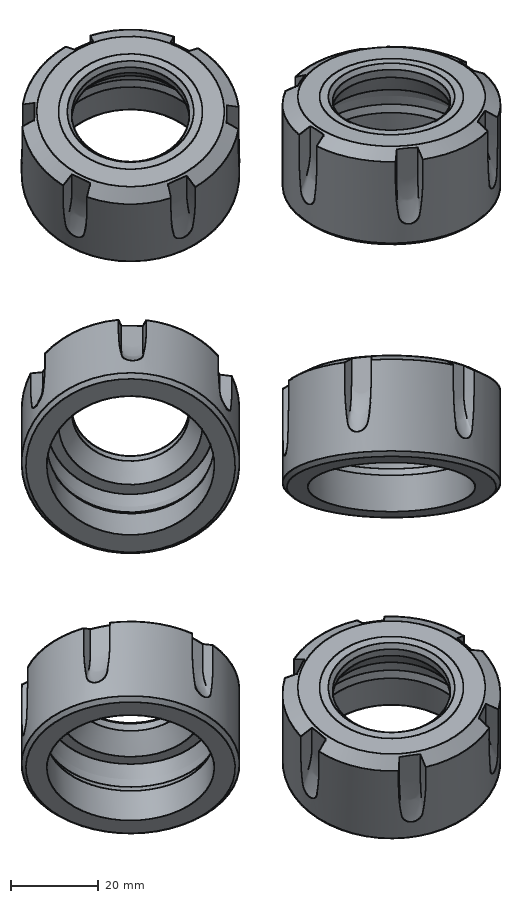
import cadquery as cq
import math

height = 50 / 2
outer_radius = 50 / 2
top_face_radius = 21.5
top_chamfer_angle = 30.0
top_chamfer_height = (outer_radius - top_face_radius) * math.tan(math.radians(top_chamfer_angle))
bottom_chamfer = 1.0
thread_radius = 19.2
relief_radius = 20.0
relief_top_depth = 12.25
relief_bottom_depth = 14.5
thread_top_depth = 16.3

ring_radius = 16.5
ring_bore_radius = 13.5
ring_chamfer_width = 1.0
ring_chamfer_depth = 1.1
cone_top_depth = 3.2
cone_half_angle = 30.0
ring_depth = cone_top_depth + (ring_radius - ring_bore_radius) / math.tan(math.radians(cone_half_angle))

slot_count = 6
slot_floor_radius = 22.05
slot_floor_half_width = 2.45
slot_floor_sag = 2.1
slot_end_height = 6.0
slot_runout_height = 10.0
slot_wall_angle = 15.0
slot_clearance = 2.5


def at_depth(radius, depth):
    """Point of a half section, with depth measured down from the top face."""
    return (radius, height - depth)


def revolve_section(points):
    return cq.Workplane("XZ").polyline(points).close().revolve(360, (0, 0, 0), (0, 1, 0))


def make_slot_outline(plane, bottom, end_lean):
    """Side outline of a slot: a floor that curves out to the rim at the bottom.

    The straight ends of the outline spread apart by end_lean on their way up.
    """
    rim_step = outer_radius - slot_floor_radius
    floor_arc_radius = (slot_runout_height**2 + rim_step**2) / (2 * rim_step)
    arc_center = slot_floor_radius + floor_arc_radius
    arc_top = bottom + slot_runout_height
    exit_radius = outer_radius + slot_clearance

    def floor_point(radius):
        drop = math.sqrt(floor_arc_radius**2 - (arc_center - radius)**2)
        return (radius, arc_top - drop)

    top = height + slot_floor_sag + slot_clearance
    return (
        cq.Workplane(plane)
        .moveTo(slot_floor_radius - end_lean, top)
        .lineTo(slot_floor_radius, arc_top)
        .threePointArc(floor_point(outer_radius), floor_point(exit_radius))
        .lineTo(exit_radius + end_lean, top)
        .close()
    )


def make_slot_cutters():
    """Round-ended middle and two flared sides of the slot on the +X side."""
    corner_height = slot_end_height + slot_floor_sag
    side_plane = cq.Plane((0, -slot_floor_half_width, 0), (1, 0, 0), (0, -1, 0))
    end_curve = (
        cq.Workplane("YZ", origin=(slot_floor_radius, 0, 0))
        .moveTo(-slot_floor_half_width, corner_height)
        .threePointArc((0, slot_end_height), (slot_floor_half_width, corner_height))
    )
    leaning_outline = make_slot_outline(side_plane, corner_height, slot_clearance)
    beyond_floor = cq.Workplane("YZ", origin=(slot_floor_radius, 0, 0)).rect(
        2 * outer_radius, 4 * height
    ).extrude(outer_radius)
    middle = leaning_outline.sweep(end_curve, normal=(0, 1, 0)).intersect(beyond_floor).val()

    slide_out = outer_radius + slot_clearance - slot_floor_radius
    slide_side = slide_out * math.tan(math.radians(slot_wall_angle))
    side_wire = make_slot_outline(side_plane, corner_height, 0).wires().val()
    side = cq.Solid.extrudeLinear(side_wire, [], cq.Vector(slide_out, -slide_side, 0))
    return [middle, side, side.mirror("XZ")]


def make_nut():
    nut = revolve_section([
        at_depth(ring_radius, 0),
        at_depth(top_face_radius, 0),
        at_depth(outer_radius, top_chamfer_height),
        (outer_radius, bottom_chamfer),
        (outer_radius - bottom_chamfer, 0),
        (thread_radius, 0),
        at_depth(thread_radius, thread_top_depth),
        at_depth(relief_radius, relief_bottom_depth),
        at_depth(relief_radius, relief_top_depth),
        at_depth(thread_radius, ring_depth),
        at_depth(ring_radius, ring_depth),
    ])
    cutters = make_slot_cutters()
    for index in range(slot_count):
        angle = index * 360 / slot_count
        for cutter in cutters:
            nut = nut.cut(cq.Workplane(cutter.rotate((0, 0, 0), (0, 0, 1), angle)))
    return nut.solids()


def make_ring():
    return revolve_section([
        at_depth(ring_radius, 0),
        at_depth(ring_radius, ring_depth),
        at_depth(ring_bore_radius, cone_top_depth),
        at_depth(ring_bore_radius, ring_chamfer_depth),
        at_depth(ring_bore_radius + ring_chamfer_width, 0),
    ])


nut = make_nut()
ring = make_ring()
result = cq.Compound.makeCompound([nut.val(), ring.val()])